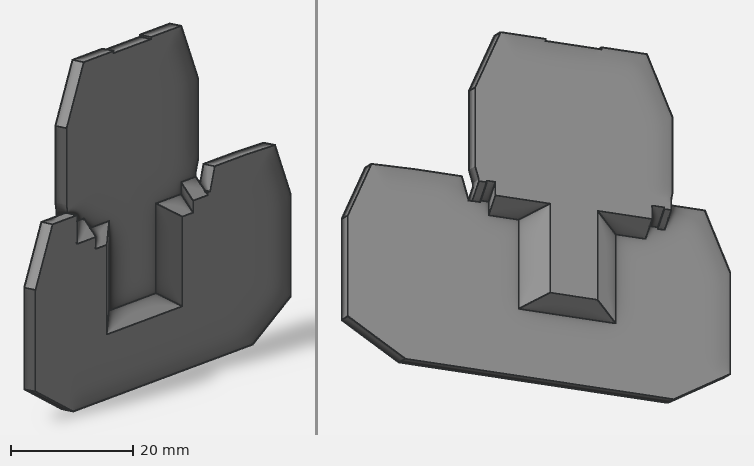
import cadquery as cq

plate_thickness = 2.3
plate_gap = 0.15
upper_back = plate_thickness
lower_front = plate_thickness + plate_gap
lower_back = lower_front + plate_thickness

half_length = 34.95
top_z = 57.5
axis_y = -5.1
upper_half_width = 18.0
shoulder_half_width = 13.35
shoulder_z = 47.4
recess_depth = 0.35
recess_half_width = 5.1
neck_z = 33.9
neck_left_y = 12.2
neck_right_y = -22.9
neck_right_top_z = 34.3
neck_right_bottom_z = 33.3

slope_drop = 2.7
wall_height = 2.25
ledge_z = 29.4
ledge_half_width = 14.3
ledge_inner_half_width = 13.3
side_z = 31.45
inner_strip_z = 31.7
strip_left_y = 10.75
strip_right_y = -21.7

tab_z = 14.2
tab_half_width = 4.3
tab_base_half_width = 8.9
channel_half_width = 6.4
channel_mouth_half_width = 10.35

corner_z = 5.8
bottom_left_y = 24.45
bottom_right_y = -24.6
side_top_z = 23.1
left_top_outer_y = 30.6
left_top_outer_z = 32.5
left_top_bend_y = 22.65
left_top_z = 32.7
notch_top_y = 14.1
notch_floor_y = 12.85
slot_right_y = -23.55
right_top_z = 33.1
right_top_outer_y = -30.3

side_floor_z = side_z - slope_drop
side_inner_z = side_floor_z + wall_height
ledge_inner_z = ledge_z - slope_drop + wall_height
tab_inner_z = tab_z - slope_drop + wall_height


def plate(points, x_start):
    """Plate with a (Y, Z) outline."""
    return cq.Workplane("YZ", origin=(x_start, 0, 0)).polyline(points).close().extrude(plate_thickness)


def prism(points, y_low, y_high):
    """Prism with an (X, Z) profile running along Y."""
    return cq.Workplane("XZ", origin=(0, y_high, 0)).polyline(points).close().extrude(y_high - y_low)


def sloped_step(front_z, y_low, y_high):
    """Downward-facing slope under the upper plate, reaching back to the lower plate."""
    profile = [(0, neck_z), (0, front_z), (lower_front, front_z - slope_drop),
               (lower_front, side_inner_z), (upper_back, side_inner_z), (upper_back, neck_z)]
    return prism(profile, y_low, y_high)


def back_slope(start_z, y_low, y_high):
    """Cutter leaving an upward-facing slope behind the step."""
    profile = [(upper_back, neck_z), (upper_back, start_z),
               (lower_back, start_z - slope_drop), (lower_back, neck_z)]
    return prism(profile, y_low, y_high)


def flared_block(x_start, x_end, start_half, end_half, bottom_z, block_top_z):
    """Block whose two sides and bottom flare outward along X; its top is level."""
    end_bottom_z = bottom_z - slope_drop

    def section(half, low_z):
        return [(axis_y - half, low_z), (axis_y + half, low_z),
                (axis_y + half, block_top_z), (axis_y - half, block_top_z)]

    return (
        cq.Workplane("YZ", origin=(x_start, 0, 0))
        .polyline(section(start_half, bottom_z)).close()
        .workplane(offset=x_end - x_start)
        .polyline(section(end_half, end_bottom_z)).close()
        .loft(ruled=True)
    )


upper_left_y = axis_y + upper_half_width
upper_right_y = axis_y - upper_half_width
upper = plate([
    (axis_y + shoulder_half_width, top_z),
    (axis_y + recess_half_width, top_z),
    (axis_y + recess_half_width, top_z - recess_depth),
    (axis_y - recess_half_width, top_z - recess_depth),
    (axis_y - recess_half_width, top_z),
    (axis_y - shoulder_half_width, top_z),
    (upper_right_y, shoulder_z),
    (upper_right_y, neck_right_top_z),
    (neck_right_y, neck_right_bottom_z),
    (neck_right_y, inner_strip_z),
    (neck_left_y, inner_strip_z),
    (upper_left_y, neck_z),
    (upper_left_y, shoulder_z),
], 0)
lower = plate([
    (half_length, side_top_z),
    (left_top_outer_y, left_top_outer_z),
    (left_top_bend_y, left_top_z),
    (notch_top_y, left_top_z),
    (notch_floor_y, side_floor_z),
    (neck_left_y, side_floor_z),
    (neck_left_y, side_inner_z),
    (slot_right_y, side_inner_z),
    (slot_right_y, right_top_z),
    (right_top_outer_y, right_top_z),
    (-half_length, side_top_z),
    (-half_length, corner_z),
    (bottom_right_y, 0),
    (bottom_left_y, 0),
    (half_length, corner_z),
], lower_front)

ledge_left_y = axis_y + ledge_half_width
ledge_right_y = axis_y - ledge_half_width
body = upper.union(lower)
for front_z, y_low, y_high in [
    (side_z, strip_left_y, neck_left_y),
    (inner_strip_z, ledge_left_y, strip_left_y),
    (ledge_z, ledge_right_y, ledge_left_y),
    (inner_strip_z, strip_right_y, ledge_right_y),
    (side_z, neck_right_y, strip_right_y),
]:
    body = body.union(sloped_step(front_z, y_low, y_high))
body = body.union(flared_block(0, lower_front, tab_half_width, tab_base_half_width, tab_z, ledge_z))

body = body.cut(back_slope(side_inner_z, slot_right_y, neck_left_y))
body = body.cut(back_slope(ledge_inner_z, axis_y - ledge_inner_half_width, axis_y + ledge_inner_half_width))
body = body.cut(flared_block(
    upper_back, lower_back, channel_half_width, channel_mouth_half_width, tab_inner_z, ledge_inner_z
))

result = body